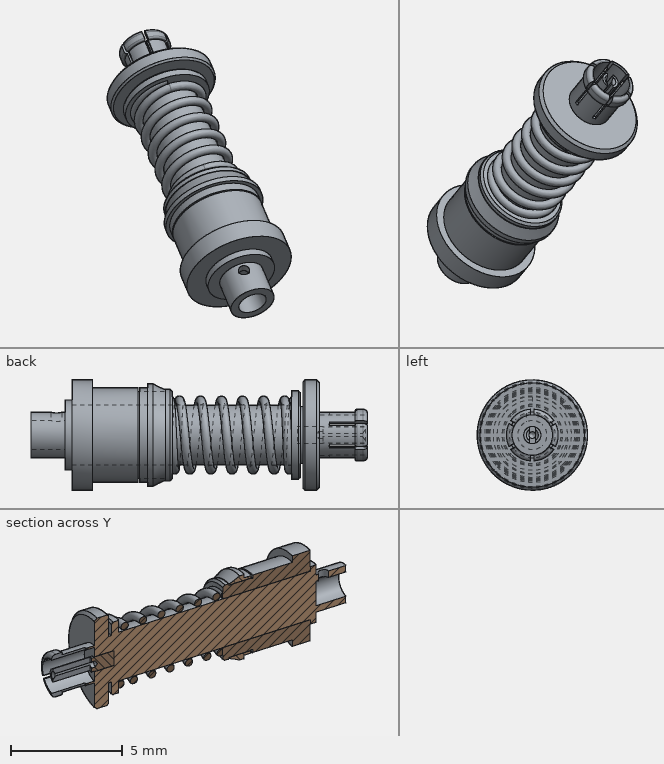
import cadquery as cq


total_length = 15.06
lip_length = 0.56
disc_front = 2.14
disc_back = 2.89
spring_seat_front = 3.01
spring_seat_back = 3.4
housing_front = 8.73
ring_front = 9.04
ring_crest_front = 9.6
ring_crest_back = 9.84
ring_back = 10.2
drum_front = 10.27
flange_front = 12.3
flange_back = 13.22
shoulder_back = 13.53

disc_radius = 2.475
lip_radius = 1.16
tube_radius = 1.025
neck_radius = 1.28
spring_seat_radius = 1.985
barrel_radius = 1.34
shoulder_radius = 1.575
lip_front_round = 0.2
lip_back_round = 0.08
disc_front_chamfer = 0.14
disc_back_chamfer = 0.09
spring_seat_chamfer = 0.09

socket_radius = 0.905
socket_depth = disc_front
finger_count = 6
finger_slot_width = 0.15
finger_slot_length = 1.71

cable_bore_radius = 0.65
cross_hole_radius = 0.25
cross_hole_x = 13.91

pin_radius = 0.385
pin_front = 0.1
pin_seat_depth = 1.0
pin_back = socket_depth + pin_seat_depth
pin_bore_radius = 0.15
pin_bore_depth = 2.1
pin_bore_tip_depth = 0.1
pin_mouth_radius = 0.27
pin_slot_width = 0.27
pin_slot_depth = 1.9

wire_radius = 0.2
coil_radius = 1.55
active_turns = 5
active_pitch = 0.942
closed_pitch = 0.43

collar_radius = 2.06
collar_chamfer = 0.11
ring_bore_radius = 1.95
ring_front_radius = 2.03
ring_crest_radius = 2.3
drum_radius = 2.12
flange_radius = disc_radius


def disc(front, back, radius):
    """A round disc about the X axis."""
    return cq.Workplane("YZ", origin=(front, 0, 0)).circle(radius).extrude(back - front)


def revolve_about_x(points):
    """Turn a closed outline of (x, radius) points about the X axis."""
    return cq.Workplane("XY").polyline(points).close().revolve(360, (0, 0, 0), (1, 0, 0))


def make_plug_body():
    lip = disc(0, lip_length, lip_radius)
    lip = lip.faces("<X").edges().fillet(lip_front_round)
    lip = lip.faces(">X").edges().fillet(lip_back_round)

    front_disc = disc(disc_front, disc_back, disc_radius)
    front_disc = front_disc.faces("<X").edges().chamfer(disc_front_chamfer)
    front_disc = front_disc.faces(">X").edges().chamfer(disc_back_chamfer)

    spring_seat = disc(spring_seat_front, spring_seat_back, spring_seat_radius)
    spring_seat = spring_seat.faces("<X").edges().chamfer(spring_seat_chamfer)

    body = (
        lip.union(disc(lip_length / 2, disc_front, tube_radius))
        .union(front_disc)
        .union(disc(disc_back, spring_seat_front, neck_radius))
        .union(spring_seat)
        .union(disc(spring_seat_back, flange_back, barrel_radius))
        .union(disc(flange_back, shoulder_back, shoulder_radius))
        .union(disc(shoulder_back, total_length, tube_radius))
    )

    body = body.cut(disc(0, socket_depth, socket_radius))
    body = body.cut(disc(socket_depth, pin_back, pin_radius))

    slot = cq.Workplane("XY").box(
        finger_slot_length, finger_slot_width, lip_radius, centered=(False, True, False)
    )
    for index in range(finger_count):
        angle = index * 360 / finger_count
        body = body.cut(slot.rotate((0, 0, 0), (1, 0, 0), angle))

    body = body.cut(disc(shoulder_back, total_length, cable_bore_radius))
    cross_hole = cq.Workplane("XY").center(cross_hole_x, 0).circle(cross_hole_radius).extrude(tube_radius)
    return body.cut(cross_hole)


def make_contact_pin():
    pin = disc(pin_front, pin_back, pin_radius)
    countersink_depth = pin_mouth_radius - pin_bore_radius
    bore_end = pin_front + pin_bore_depth
    bore = revolve_about_x(
        [
            (pin_front, 0),
            (pin_front, pin_mouth_radius),
            (pin_front + countersink_depth, pin_bore_radius),
            (bore_end, pin_bore_radius),
            (bore_end + pin_bore_tip_depth, 0),
        ]
    )
    slot = cq.Workplane("XY", origin=(pin_front, 0, 0)).box(
        pin_slot_depth, pin_slot_width, 2 * pin_radius, centered=(False, True, True)
    )
    return pin.cut(bore).cut(slot)


def make_coils(start_x, turns, pitch):
    """Right-handed coils that begin at the top of the axis at start_x."""
    path = cq.Wire.makeHelix(
        pitch, turns * pitch, coil_radius, center=cq.Vector(0, 0, 0), dir=cq.Vector(0, 0, 1)
    )
    coils = (
        cq.Workplane("XZ")
        .center(coil_radius, 0)
        .circle(wire_radius)
        .sweep(cq.Workplane(path), isFrenet=True)
    )
    coils = coils.rotate((0, 0, 0), (0, 1, 0), 90).rotate((0, 0, 0), (1, 0, 0), 180)
    return coils.translate((start_x, 0, 0))


def make_spring():
    """Active coils between two closed end coils, whose ends are ground flat."""
    active_length = active_turns * active_pitch
    active_start = (spring_seat_back + housing_front - active_length) / 2
    coils = (
        make_coils(active_start, active_turns, active_pitch)
        .union(make_coils(active_start - closed_pitch, 1, closed_pitch))
        .union(make_coils(active_start + active_length, 1, closed_pitch))
    )
    return coils.intersect(disc(spring_seat_back, housing_front, 2 * coil_radius))


def make_snap_ring():
    return revolve_about_x(
        [
            (ring_front, ring_bore_radius),
            (ring_front, ring_front_radius),
            (ring_crest_front, ring_crest_radius),
            (ring_crest_back, ring_crest_radius),
            (ring_crest_back, drum_radius),
            (ring_back, drum_radius),
            (ring_back, ring_bore_radius),
        ]
    )


def make_housing():
    collar = disc(housing_front, ring_front, collar_radius)
    collar = collar.faces("<X").edges().chamfer(collar_chamfer)
    return (
        collar.union(disc(ring_front, drum_front, ring_bore_radius))
        .union(disc(drum_front, flange_front, drum_radius))
        .union(disc(flange_front, flange_back, flange_radius))
        .cut(disc(housing_front, flange_back, barrel_radius))
    )


plug_body = make_plug_body()
contact_pin = make_contact_pin()
spring = make_spring()
snap_ring = make_snap_ring()
housing = make_housing()

result = cq.Compound.makeCompound(
    [plug_body.val(), contact_pin.val(), spring.val(), snap_ring.val(), housing.val()]
)